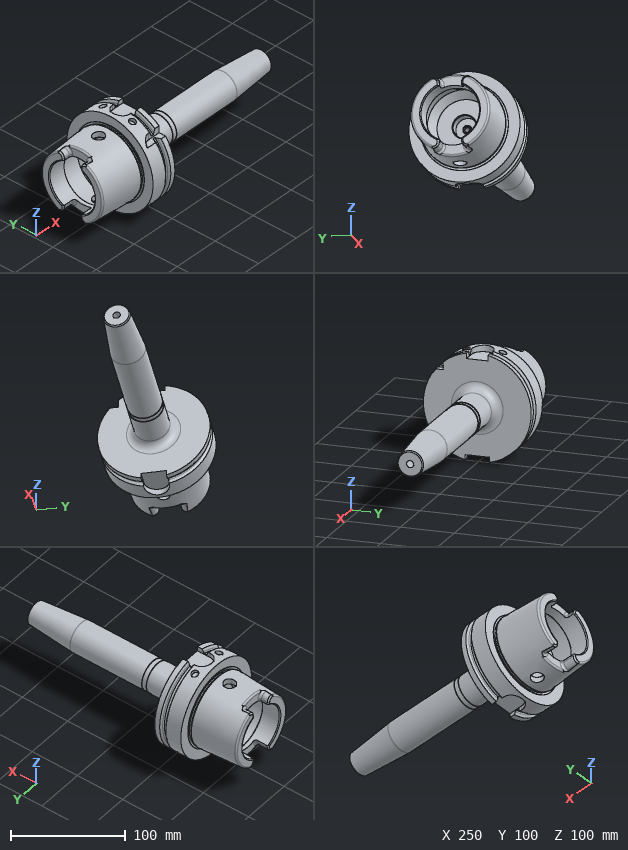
import cadquery as cq
import math


shank_length = 50.0
shank_large_radius = 38.0
shank_small_radius = 35.5
edge_radius = 1.8

neck_length = 2.2
neck_slope = 1.2
neck_radius = 37.2
face_recess_radius = 39.5
face_recess_depth = 0.5

flange_radius = 50.0
flange_length = 29.0
groove_center = 20.0
groove_radius = 46.0
groove_floor_width = 2.5
groove_mouth_width = 6.8
groove_wall_width = 4.0
groove_wall_radius = 47.5

arbor_radius = 16.0
arbor_fillet = 8.0
band_start = 65.0
band_length = 5.0
band_radius = 15.5
nose_start = 149.2
nose_end = 200.0
nose_radius = 12.0
nose_chamfer = 1.0

bore_radius = 26.2
bore_chamfer = 1.0
bore_mouth_length = 19.5
cavity_radius = 31.5
cavity_shoulder_angle = 60.0
bore_floor = 0.0
bore_floor_radius = 24.5
tube_seat_radius = 10.2
tube_seat_chamfer = 0.8
tube_seat_depth = 10.0
screw_bore_radius = 3.2
screw_bore_chamfer = 0.8

slot_half_width = 10.0
slot_inner_height = 15.0
slot_lip_radius = 5.5
slot_lip_height = 32.0
slot_mouth_half_width = 20.0
upper_slot_depth = 10.0
lower_slot_depth = 15.0
slot_corner_radius = 2.2
slot_mouth_bevel = 1.5

cross_hole_radius = 6.0
cross_hole_x = -15.0

keyway_radius = 10.0
lower_keyway_radius = 11.2
keyway_center_x = 15.0
keyway_floor = 44.0
notch_offset = 31.5

rim_hole_radius = 3.5
rim_hole_x = 10.2
rim_hole_depth = 3.8
rim_hole_angle = 20.0
drill_half_angle = 59.0

screw_length = 10.0
screw_hole_radius = 2.12

shank_rear = -shank_length
screw_bore_start = bore_floor + tube_seat_depth
screw_start = screw_bore_start + screw_bore_chamfer


def revolve_about_x(outline):
    return outline.close().revolve(360, (0, 0, 0), (1, 0, 0))


def shank_edge_round(face_x):
    """Start, middle and end of the arc that rounds the edge between a rear-facing face and the taper."""
    rise = (shank_large_radius - shank_small_radius) / (shank_length - neck_length)
    taper_angle = math.atan(rise)
    center_x = face_x + edge_radius
    taper_radius = shank_small_radius + rise * (center_x - shank_rear)
    center_radius = taper_radius - edge_radius / math.cos(taper_angle)
    end_angle = math.pi / 2 + taper_angle
    return [
        (
            center_x + edge_radius * math.cos(angle),
            center_radius + edge_radius * math.sin(angle),
        )
        for angle in (math.pi, (math.pi + end_angle) / 2, end_angle)
    ]


def make_blank():
    """Outside of the holder as one turned solid."""
    round_start, round_middle, round_end = shank_edge_round(shank_rear)
    half_floor = groove_floor_width / 2
    half_wall = groove_wall_width / 2
    half_mouth = groove_mouth_width / 2
    fillet_end = flange_length + arbor_fillet
    fillet_bend = arbor_fillet * (1 - math.sqrt(0.5))
    outline = (
        cq.Workplane("XY")
        .moveTo(shank_rear, 0)
        .lineTo(*round_start)
        .threePointArc(round_middle, round_end)
        .lineTo(-neck_length, shank_large_radius)
        .lineTo(-neck_length + neck_slope, neck_radius)
        .lineTo(face_recess_depth, neck_radius)
        .lineTo(face_recess_depth, face_recess_radius)
        .lineTo(0, face_recess_radius)
        .lineTo(0, flange_radius)
        .lineTo(groove_center - half_mouth, flange_radius)
        .lineTo(groove_center - half_wall, groove_wall_radius)
        .lineTo(groove_center - half_floor, groove_radius)
        .lineTo(groove_center + half_floor, groove_radius)
        .lineTo(groove_center + half_wall, groove_wall_radius)
        .lineTo(groove_center + half_mouth, flange_radius)
        .lineTo(flange_length, flange_radius)
        .lineTo(flange_length, arbor_radius + arbor_fillet)
        .threePointArc(
            (flange_length + fillet_bend, arbor_radius + fillet_bend),
            (fillet_end, arbor_radius),
        )
        .lineTo(band_start, arbor_radius)
        .lineTo(band_start, band_radius)
        .lineTo(band_start + band_length, band_radius)
        .lineTo(band_start + band_length, arbor_radius)
        .lineTo(nose_start, arbor_radius)
        .lineTo(nose_end, nose_radius)
        .lineTo(nose_end, 0)
    )
    return revolve_about_x(outline).faces(">X").edges().chamfer(nose_chamfer)


def make_bore():
    """Stepped bore, open at both ends, with a clamping cavity behind its mouth."""
    shoulder_start = shank_rear + bore_mouth_length
    shoulder_length = (cavity_radius - bore_radius) / math.tan(math.radians(cavity_shoulder_angle))
    outline = (
        cq.Workplane("XY")
        .moveTo(shank_rear, 0)
        .lineTo(shank_rear, bore_radius + bore_chamfer)
        .lineTo(shank_rear + bore_chamfer, bore_radius)
        .lineTo(shoulder_start, bore_radius)
        .lineTo(shoulder_start + shoulder_length, cavity_radius)
        .lineTo(bore_floor - (cavity_radius - bore_floor_radius), cavity_radius)
        .lineTo(bore_floor, bore_floor_radius)
        .lineTo(bore_floor, tube_seat_radius + tube_seat_chamfer)
        .lineTo(bore_floor + tube_seat_chamfer, tube_seat_radius)
        .lineTo(screw_bore_start, tube_seat_radius)
        .lineTo(screw_bore_start, screw_bore_radius + screw_bore_chamfer)
        .lineTo(screw_start, screw_bore_radius)
        .lineTo(nose_end, screw_bore_radius)
        .lineTo(nose_end, 0)
    )
    return revolve_about_x(outline)


def slot_outline():
    """Slot section on the +Z side, flaring outward over rounded lips."""
    lip_start = slot_lip_height - slot_lip_radius
    lip_end_y = slot_half_width + slot_lip_radius
    lip_bend = slot_lip_radius * (1 - math.sqrt(0.5))
    lip_middle_y = slot_half_width + lip_bend
    lip_middle_z = slot_lip_height - lip_bend
    return (
        cq.Workplane("YZ", origin=(shank_rear, 0, 0))
        .moveTo(-slot_half_width, slot_inner_height)
        .lineTo(slot_half_width, slot_inner_height)
        .lineTo(slot_half_width, lip_start)
        .threePointArc((lip_middle_y, lip_middle_z), (lip_end_y, slot_lip_height))
        .lineTo(slot_mouth_half_width, slot_lip_height)
        .lineTo(slot_mouth_half_width, flange_radius)
        .lineTo(-slot_mouth_half_width, flange_radius)
        .lineTo(-slot_mouth_half_width, slot_lip_height)
        .lineTo(-lip_end_y, slot_lip_height)
        .threePointArc((-lip_middle_y, lip_middle_z), (-slot_half_width, lip_start))
        .close()
    )


def make_slot(depth):
    """Driving slot with rounded bottom corners, a beveled mouth and a rounded floor edge."""
    slot = slot_outline().extrude(depth)
    slot = slot.faces(">X").edges("|Z").fillet(slot_corner_radius)
    mouth = slot_outline().offset2D(slot_mouth_bevel).extrude(slot_mouth_bevel, taper=45)

    round_start, round_middle, round_end = shank_edge_round(shank_rear + depth)
    floor_edge = revolve_about_x(
        cq.Workplane("XY")
        .moveTo(*round_start)
        .threePointArc(round_middle, round_end)
        .lineTo(round_end[0], flange_radius)
        .lineTo(round_start[0], flange_radius)
    )
    floor_outline = slot_outline().offset2D(-slot_corner_radius)
    floor_edge = floor_edge.intersect(floor_outline.extrude(depth + edge_radius))
    return slot.union(mouth).union(floor_edge)


def make_keyway(radius, center_y, floor_z):
    """Round-ended keyway with a flat floor, open toward the arbor and outward in +Z."""
    length = flange_length - keyway_center_x
    height = flange_radius - floor_z
    base = cq.Workplane("XY", origin=(keyway_center_x, center_y, floor_z))
    round_end = base.circle(radius).extrude(height)
    channel = base.rect(length, 2 * radius, centered=(False, True)).extrude(height)
    return round_end.union(channel)


def make_rim_hole(angle):
    """Radial drilled hole with a conical bottom, tilted about X from +Z by the angle."""
    floor_z = flange_radius - rim_hole_depth
    tip_z = floor_z - rim_hole_radius / math.tan(math.radians(drill_half_angle))
    hole = (
        cq.Workplane("XZ")
        .moveTo(0, tip_z)
        .lineTo(rim_hole_radius, floor_z)
        .lineTo(rim_hole_radius, flange_radius)
        .lineTo(0, flange_radius)
        .close()
        .revolve(360, (0, 0, 0), (0, 1, 0))
    )
    return hole.translate((rim_hole_x, 0, 0)).rotate((0, 0, 0), (1, 0, 0), angle)


def make_holder():
    upper_slot = make_slot(upper_slot_depth)
    lower_slot = make_slot(lower_slot_depth).rotate((0, 0, 0), (1, 0, 0), 180)
    body = make_blank().cut(upper_slot).cut(lower_slot)
    body = body.cut(make_bore())

    cross_hole = (
        cq.Workplane("XY", origin=(cross_hole_x, 0, 0))
        .circle(cross_hole_radius)
        .extrude(flange_radius, both=True)
    )
    body = body.cut(cross_hole)

    body = body.cut(make_keyway(keyway_radius, 0, keyway_floor))
    lower_keyway = make_keyway(lower_keyway_radius, 0, keyway_floor)
    body = body.cut(lower_keyway.rotate((0, 0, 0), (1, 0, 0), 180))
    body = body.cut(make_keyway(keyway_radius, -notch_offset - keyway_radius, notch_offset))

    for angle in (-rim_hole_angle, rim_hole_angle):
        body = body.cut(make_rim_hole(angle))
    return body


def make_stop_screw():
    """Hollow stop screw that fills the screw bore just below its bevel."""
    return (
        cq.Workplane("YZ", origin=(screw_start, 0, 0))
        .circle(screw_bore_radius)
        .circle(screw_hole_radius)
        .extrude(screw_length)
    )


holder = make_holder()
stop_screw = make_stop_screw()
result = cq.Compound.makeCompound([holder.val(), stop_screw.val()])